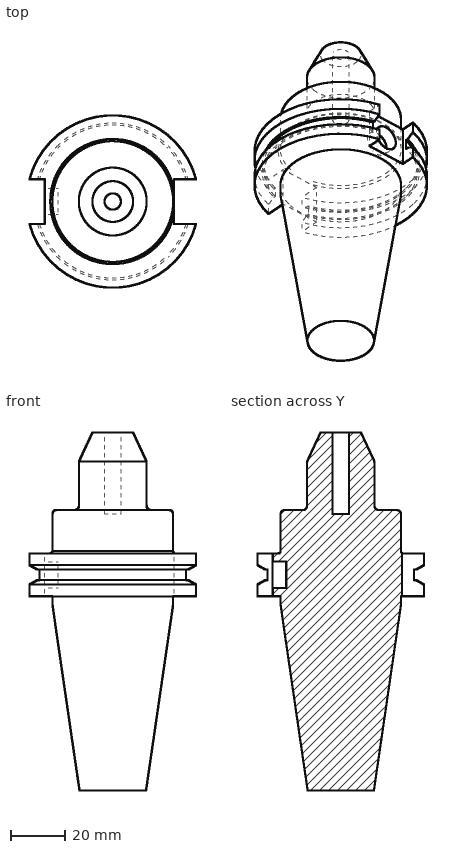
import cadquery as cq
import math


gauge_diameter = 44.45
gauge_radius = gauge_diameter / 2
taper_length = 68.25
taper_ratio = 7 / 24
taper_end_radius = gauge_radius - taper_length * taper_ratio / 2

flange_diameter = 63.5
flange_radius = flange_diameter / 2
flange_bottom = 3.175
flange_top = 19.05
groove_center = (flange_bottom + flange_top) / 2
groove_root_diameter = 56.4
groove_root_radius = groove_root_diameter / 2
groove_root_width = 3.8
groove_ledge_radius = 28.9
groove_side_angle = 30
groove_side_height = (flange_radius - groove_ledge_radius) * math.tan(math.radians(groove_side_angle))
groove_root_low = groove_center - groove_root_width / 2
groove_root_high = groove_center + groove_root_width / 2
groove_low = groove_root_low - groove_side_height
groove_high = groove_root_high + groove_side_height

collar_radius = gauge_radius
collar_top = 35.0
collar_base_fillet = 0.8
collar_top_fillet = 1.5
nose_radius = 12.5
nose_base_fillet = 1.5
nose_top = 63.5
nose_tip_radius = 7.5
nose_cone_angle = 25
nose_cone_height = (nose_radius - nose_tip_radius) / math.tan(math.radians(nose_cone_angle))

slot_width = 16.38
slot_floor_left = 25.1
slot_floor_right = 22.6
side_hole_diameter = 9.5
side_hole_depth = 5.0
nose_hole_diameter = 6.0
nose_hole_depth = 30.0


inner_corner = 225
outer_corner = 45


def fillet_mid(center_r, center_z, radius, angle):
    """Point on a fillet arc at the given angle in the (radius, Z) plane."""
    a = math.radians(angle)
    return center_r + radius * math.cos(a), center_z + radius * math.sin(a)


def turned_body():
    """Taper shank, grooved flange, collar and nose, revolved about Z."""
    base, edge, root = collar_base_fillet, collar_top_fillet, nose_base_fillet
    profile = (
        cq.Workplane("XZ")
        .moveTo(0, -taper_length)
        .lineTo(taper_end_radius, -taper_length)
        .lineTo(gauge_radius, 0)
        .lineTo(gauge_radius, flange_bottom)
        .lineTo(flange_radius, flange_bottom)
        .lineTo(flange_radius, groove_low)
        .lineTo(groove_ledge_radius, groove_root_low)
        .lineTo(groove_root_radius, groove_root_low)
        .lineTo(groove_root_radius, groove_root_high)
        .lineTo(groove_ledge_radius, groove_root_high)
        .lineTo(flange_radius, groove_high)
        .lineTo(flange_radius, flange_top)
        .lineTo(collar_radius + base, flange_top)
        .threePointArc(
            fillet_mid(collar_radius + base, flange_top + base, base, inner_corner),
            (collar_radius, flange_top + base),
        )
        .lineTo(collar_radius, collar_top - edge)
        .threePointArc(
            fillet_mid(collar_radius - edge, collar_top - edge, edge, outer_corner),
            (collar_radius - edge, collar_top),
        )
        .lineTo(nose_radius + root, collar_top)
        .threePointArc(
            fillet_mid(nose_radius + root, collar_top + root, root, inner_corner),
            (nose_radius, collar_top + root),
        )
        .lineTo(nose_radius, nose_top - nose_cone_height)
        .lineTo(nose_tip_radius, nose_top)
        .lineTo(0, nose_top)
        .close()
    )
    return profile.revolve(360, (0, 0, 0), (0, 1, 0))


def drive_slot(side, floor):
    """Block that cuts one slot through the flange; side is -1 or +1 along X.

    It rises to the top of the collar's base fillet so the slot is open at the top.
    """
    length = flange_radius
    height = flange_top + collar_base_fillet - flange_bottom
    return (
        cq.Workplane("XY", origin=(side * (floor + length / 2), 0, flange_bottom))
        .rect(length, slot_width)
        .extrude(height)
    )


def side_hole():
    """Blind hole running inward from the floor of the -X slot."""
    return (
        cq.Workplane("YZ", origin=(-slot_floor_left, 0, groove_center))
        .circle(side_hole_diameter / 2)
        .extrude(side_hole_depth)
    )


def nose_hole():
    """Blind hole running down from the nose tip."""
    return (
        cq.Workplane("XY", origin=(0, 0, nose_top))
        .circle(nose_hole_diameter / 2)
        .extrude(-nose_hole_depth)
    )


result = (
    turned_body()
    .cut(drive_slot(-1, slot_floor_left))
    .cut(drive_slot(1, slot_floor_right))
    .cut(side_hole())
    .cut(nose_hole())
)